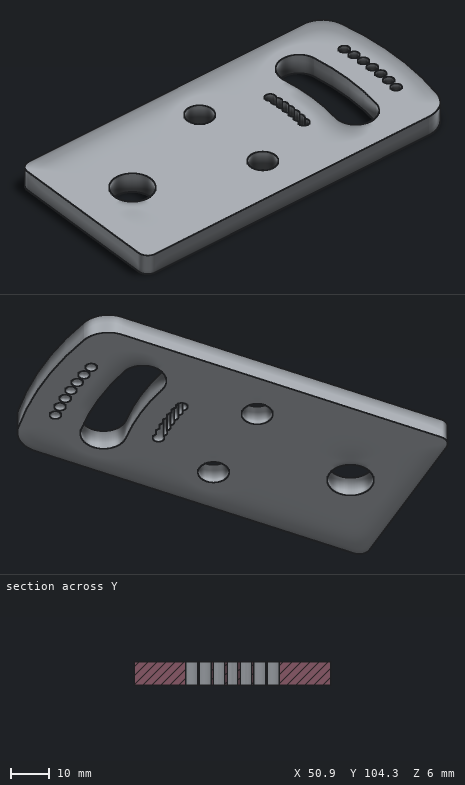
import cadquery as cq
import math

length = 104.3
width = 50.9
thickness = 6.0
lower_corner_radius = 3.0
upper_corner_radius = 8.0

pivot_y = 16.5
pivot_diameter = 12.0
top_arc_radius = length - pivot_y
side_hole_y = 49.4
side_hole_spacing = 25.4
side_hole_diameter = 8.0

slot_radius = 66.0
slot_width = 12.0
slot_half_angle = 10.0

row_hole_count = 7
row_hole_diameter = 3.0
row_angle_step = 2.5
outer_row_radius = 80.0
inner_row_radius = 52.0


def polar(radius, angle):
    """Point at a radius from the pivot; angle in degrees clockwise from +Y."""
    turn = math.radians(angle)
    return (radius * math.sin(turn), pivot_y + radius * math.cos(turn))


def mirrored(point):
    return (-point[0], point[1])


def make_plate():
    half_width = width / 2

    corner_x = half_width - upper_corner_radius
    center_distance = top_arc_radius - upper_corner_radius
    corner_rise = math.sqrt(center_distance**2 - corner_x**2)
    corner_y = pivot_y + corner_rise
    corner_start = (half_width, corner_y)
    reach = top_arc_radius / center_distance
    corner_end = (corner_x * reach, pivot_y + corner_rise * reach)

    middle_angle = math.atan2(corner_rise, corner_x) / 2
    corner_middle = (
        corner_x + upper_corner_radius * math.cos(middle_angle),
        corner_y + upper_corner_radius * math.sin(middle_angle),
    )

    outline = (
        cq.Workplane("XY")
        .moveTo(-half_width, 0)
        .lineTo(half_width, 0)
        .lineTo(*corner_start)
        .threePointArc(corner_middle, corner_end)
        .threePointArc((0, length), mirrored(corner_end))
        .threePointArc(mirrored(corner_middle), mirrored(corner_start))
        .close()
    )
    plate = outline.extrude(thickness)
    return plate.edges("|Z and <Y").fillet(lower_corner_radius)


def hole_cutter(centers, diameter):
    """Through cylinders, joined where they overlap."""
    cutter = cq.Workplane("XY")
    for x, y in centers:
        cutter = cutter.union(cq.Workplane("XY").center(x, y).circle(diameter / 2).extrude(thickness))
    return cutter


def slot_cutter():
    """Slot curved about the pivot, with round ends."""
    inner_radius = slot_radius - slot_width / 2
    outer_radius = slot_radius + slot_width / 2
    inner_end = polar(inner_radius, slot_half_angle)
    outer_end = polar(outer_radius, slot_half_angle)
    end_center = polar(slot_radius, slot_half_angle)
    turn = math.radians(slot_half_angle)
    end_tip = (
        end_center[0] + slot_width / 2 * math.cos(turn),
        end_center[1] - slot_width / 2 * math.sin(turn),
    )
    return (
        cq.Workplane("XY")
        .moveTo(*mirrored(outer_end))
        .threePointArc(polar(outer_radius, 0), outer_end)
        .threePointArc(end_tip, inner_end)
        .threePointArc(polar(inner_radius, 0), mirrored(inner_end))
        .threePointArc(mirrored(end_tip), mirrored(outer_end))
        .close()
        .extrude(thickness)
    )


def row_centers(radius):
    middle = (row_hole_count - 1) / 2
    return [polar(radius, (i - middle) * row_angle_step) for i in range(row_hole_count)]


side_hole_centers = [(side * side_hole_spacing / 2, side_hole_y) for side in (-1, 1)]

result = make_plate()
result = result.cut(hole_cutter([(0, pivot_y)], pivot_diameter))
result = result.cut(hole_cutter(side_hole_centers, side_hole_diameter))
result = result.cut(slot_cutter())
for row_radius in (outer_row_radius, inner_row_radius):
    result = result.cut(hole_cutter(row_centers(row_radius), row_hole_diameter))